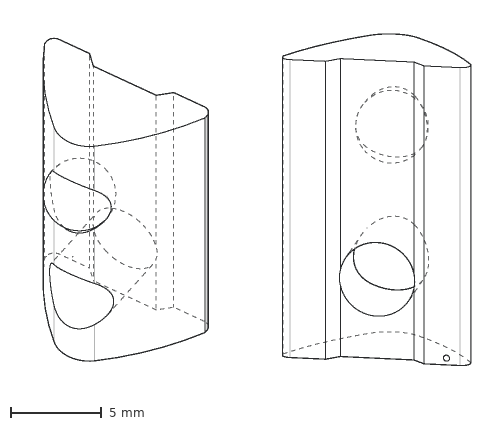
import cadquery as cq
import math

nut_length = 17.0
half_width = 10.5 / 2
nut_depth = 6.32
corner_radius = 0.5
side_end_y = -0.71
flank_radius = 18.02
nose_radius = 2.0
nose_half_width = 1.33

groove_floor_half_width = 2.05
groove_depth = 0.7
groove_mouth_half_width = groove_floor_half_width + groove_depth

hole_diameter = 4.2
hole_z = 4.5

ball_radius = 2.0
ball_tip_y = -7.31
ball_center = (0, ball_tip_y + ball_radius, 11.98)

pip_height = 0.07
pip_base_radius = 0.17
pip_x = -(groove_mouth_half_width + half_width) / 2
pip_z = 0.39


def sphere(radius, center):
    return cq.Workplane("XY").sphere(radius).translate(center)


def cylinder_from_front(radius, z, y_end):
    """Cylinder parallel to Y, from ahead of the nose back to y_end."""
    y_start = -2 * nut_depth
    return (
        cq.Workplane("XZ", origin=(0, y_start, z))
        .circle(radius)
        .extrude(y_start - y_end)
    )


def make_nut_profile():
    nose_center_y = -nut_depth + nose_radius
    nose_join_y = nose_center_y - math.sqrt(nose_radius**2 - nose_half_width**2)
    corner_x = half_width - corner_radius
    corner_mid_x = corner_x + corner_radius * math.sqrt(0.5)
    corner_mid_y = -corner_radius + corner_radius * math.sqrt(0.5)
    return (
        cq.Workplane("XY")
        .moveTo(-groove_floor_half_width, -groove_depth)
        .lineTo(groove_floor_half_width, -groove_depth)
        .lineTo(groove_mouth_half_width, 0)
        .lineTo(corner_x, 0)
        .threePointArc((corner_mid_x, corner_mid_y), (half_width, -corner_radius))
        .lineTo(half_width, side_end_y)
        .radiusArc((nose_half_width, nose_join_y), flank_radius)
        .threePointArc((0, -nut_depth), (-nose_half_width, nose_join_y))
        .radiusArc((-half_width, side_end_y), flank_radius)
        .lineTo(-half_width, -corner_radius)
        .threePointArc((-corner_mid_x, corner_mid_y), (-corner_x, 0))
        .lineTo(-groove_mouth_half_width, 0)
        .close()
    )


def make_nut():
    through_hole = cylinder_from_front(hole_diameter / 2, hole_z, nut_depth)
    pocket_bore = cylinder_from_front(ball_radius, ball_center[2], ball_center[1])
    pocket_bottom = sphere(ball_radius, ball_center)
    return (
        make_nut_profile()
        .extrude(nut_length)
        .cut(through_hole)
        .cut(pocket_bore)
        .cut(pocket_bottom)
    )


def make_ball():
    return sphere(ball_radius, ball_center)


def make_pip():
    """Spherical cap: the part of a sphere that rises above the back face."""
    radius = (pip_base_radius**2 + pip_height**2) / (2 * pip_height)
    behind_back_face = (
        cq.Workplane("XY")
        .box(2 * radius, 2 * radius, 2 * radius)
        .translate((pip_x, radius, pip_z))
    )
    return sphere(radius, (pip_x, pip_height - radius, pip_z)).intersect(behind_back_face)


nut = make_nut()
ball = make_ball()
pip = make_pip()

result = cq.Compound.makeCompound([nut.solids().val(), ball.val(), pip.solids().val()])